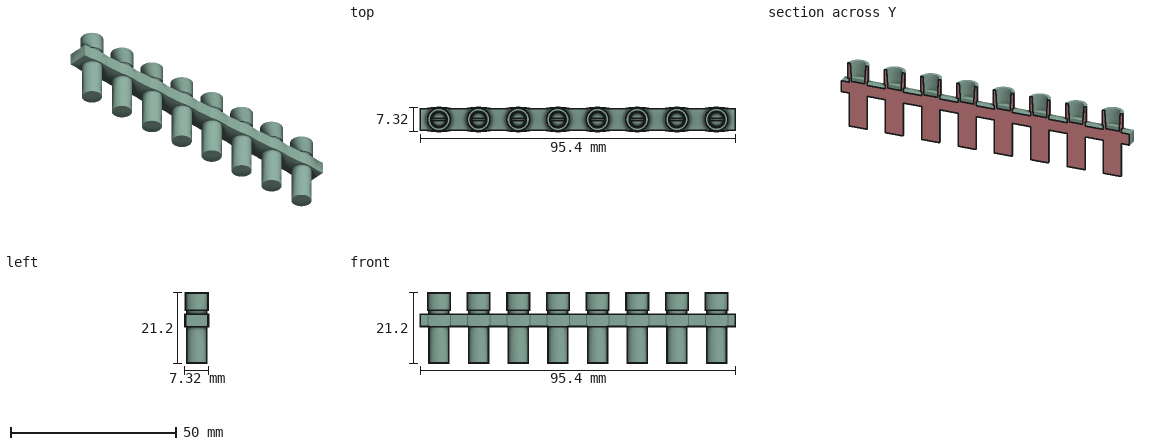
import cadquery as cq

TERMINAL_COUNT = 8
PITCH = 12.0
END_MARGIN = 5.7

BAR_LENGTH = (TERMINAL_COUNT - 1) * PITCH + 2 * END_MARGIN
BAR_WIDTH = 6.64
BULGE_WIDTH = 7.32
BULGE_LENGTH = 6.9
BAR_BOTTOM = 11.0
BAR_THICKNESS = 3.8

PIN_DIAMETER = 6.1
HEAD_DIAMETER = 6.9
HEAD_BOTTOM = 15.95
HEAD_TOP = 21.2

BORE_MOUTH_DIAMETER = 4.95
BORE_FLOOR_DIAMETER = 4.3
BORE_DEPTH = 5.0
BORE_FLOOR = HEAD_TOP - BORE_DEPTH
SLOT_WIDTH = 0.85
SLOT_DEPTH = 1.0

TERMINAL_CENTERS = [
    (END_MARGIN - BAR_LENGTH / 2 + index * PITCH, 0) for index in range(TERMINAL_COUNT)
]


def cylinder(diameter, bottom, top):
    """Upright cylinder on the Z axis between two heights."""
    return cq.Workplane("XY").workplane(offset=bottom).circle(diameter / 2).extrude(top - bottom)


def cone(bottom_diameter, top_diameter, bottom, top):
    """Upright truncated cone on the Z axis between two heights."""
    return (
        cq.Workplane("XY")
        .workplane(offset=bottom)
        .circle(bottom_diameter / 2)
        .workplane(offset=top - bottom)
        .circle(top_diameter / 2)
        .loft(ruled=True)
    )


def make_bar():
    """Flat bar whose long sides bow outward at every terminal."""
    half_length = BAR_LENGTH / 2
    half_width = BAR_WIDTH / 2
    half_bulge = BULGE_LENGTH / 2
    outline = cq.Workplane("XY").workplane(offset=BAR_BOTTOM).moveTo(-half_length, -half_width)
    for x, _ in TERMINAL_CENTERS:
        outline = outline.lineTo(x - half_bulge, -half_width)
        outline = outline.threePointArc((x, -BULGE_WIDTH / 2), (x + half_bulge, -half_width))
    outline = outline.lineTo(half_length, -half_width).lineTo(half_length, half_width)
    for x, _ in reversed(TERMINAL_CENTERS):
        outline = outline.lineTo(x + half_bulge, half_width)
        outline = outline.threePointArc((x, BULGE_WIDTH / 2), (x - half_bulge, half_width))
    return outline.lineTo(-half_length, half_width).close().extrude(BAR_THICKNESS)


def make_socket():
    """Space removed from the head: the tapered bore and the slot along X below it."""
    bore = cone(BORE_FLOOR_DIAMETER, BORE_MOUTH_DIAMETER, BORE_FLOOR, HEAD_TOP)
    slot_bottom = BORE_FLOOR - SLOT_DEPTH
    slot_strip = cq.Workplane("XY").box(
        BORE_FLOOR_DIAMETER, SLOT_WIDTH, SLOT_DEPTH, centered=(True, True, False)
    )
    slot_limit = cylinder(BORE_FLOOR_DIAMETER, slot_bottom, BORE_FLOOR)
    slot = slot_strip.translate((0, 0, slot_bottom)).intersect(slot_limit)
    return bore.union(slot)


def make_terminal():
    """Straight pin and hollow head, centred on the Z axis."""
    pin = cylinder(PIN_DIAMETER, 0, HEAD_BOTTOM)
    head = cylinder(HEAD_DIAMETER, HEAD_BOTTOM, HEAD_TOP)
    return pin.union(head).cut(make_socket())


terminal = make_terminal()
result = make_bar()
for center in TERMINAL_CENTERS:
    result = result.union(terminal.translate(center))